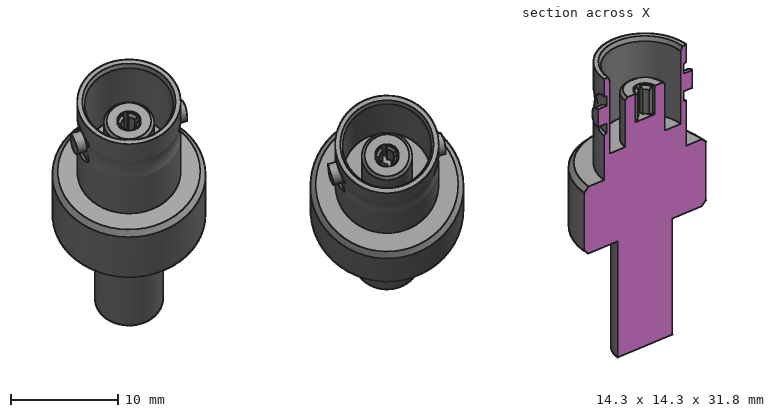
import cadquery as cq

height = 31.8
collar_bottom = 12.97
collar_top = 20.5
stem_radius = 3.2
collar_radius = 7.15
collar_chamfer = 0.5
barrel_radius = 4.83

pin_height = 27.67
groove_half_width = 1.3
groove_depth = 0.13

pin_radius = 1.02
pin_reach = 5.53
seat_plane = 4.55
seat_floor_radius = 2.05
seat_rim_radius = 2.2

socket_radius = 4.13
mouth_radius = 4.35
mouth_depth = 0.45
socket_floor = 23.2

boss_radius = 2.35
boss_top = 28.68
boss_chamfer = 0.3
boss_bore_radius = 1.1

contact_bore_radius = 0.7
contact_mouth_radius = 1.0
contact_recess = 0.15
contact_depth = 3.18
contact_top = boss_top - contact_recess
contact_floor = boss_top - contact_depth
slot_width = 0.45


def cylinder(radius, bottom, top):
    """Upright cylinder on the Z axis."""
    return cq.Workplane("XY").workplane(offset=bottom).circle(radius).extrude(top - bottom)


def make_collar():
    collar = cylinder(collar_radius, collar_bottom, collar_top)
    return collar.faces("<Z or >Z").edges().chamfer(collar_chamfer)


def make_barrel():
    """Barrel with a shallow arc-shaped groove around it."""
    return (
        cq.Workplane("XZ")
        .moveTo(0, collar_top)
        .lineTo(barrel_radius, collar_top)
        .lineTo(barrel_radius, pin_height - groove_half_width)
        .threePointArc(
            (barrel_radius - groove_depth, pin_height),
            (barrel_radius, pin_height + groove_half_width),
        )
        .lineTo(barrel_radius, height)
        .lineTo(0, height)
        .close()
        .revolve(360, (0, 0), (0, 1))
    )


def make_seat_cutter(side):
    """Cone that sinks a flat seat into the barrel on the +Y (1) or -Y (-1) side."""
    axis = cq.Vector(0, side, 0)
    depth = barrel_radius - seat_plane
    foot = cq.Vector(0, side * seat_plane, pin_height)
    return cq.Workplane(cq.Solid.makeCone(seat_floor_radius, seat_rim_radius, depth, foot, axis))


def make_pin(side):
    """Bayonet pin rooted in the barrel wall, its end rounded about the Z axis."""
    root = (socket_radius + seat_plane) / 2
    foot = cq.Vector(0, side * root, pin_height)
    axis = cq.Vector(0, side, 0)
    pin = cq.Workplane(cq.Solid.makeCylinder(pin_radius, pin_reach - root, foot, axis))
    return pin.intersect(cylinder(pin_reach, collar_top, height))


def make_socket_cutter():
    bore = cylinder(socket_radius, socket_floor, height)
    mouth_foot = cq.Vector(0, 0, height - mouth_depth)
    mouth = cq.Workplane(cq.Solid.makeCone(socket_radius, mouth_radius, mouth_depth, mouth_foot))
    return bore.union(mouth)


def make_boss():
    boss = cylinder(boss_radius, socket_floor, boss_top)
    return boss.faces(">Z").edges().chamfer(boss_chamfer)


def make_contact_cutter():
    """Hollow above and inside the contact: recess, tapered mouth, bore and crossed slots."""
    recess = cylinder(boss_bore_radius, contact_top, boss_top)
    bore = cylinder(contact_bore_radius, contact_floor, contact_top)
    taper = contact_mouth_radius - contact_bore_radius
    taper_foot = cq.Vector(0, 0, contact_top - taper)
    mouth = cq.Workplane(
        cq.Solid.makeCone(contact_bore_radius, contact_mouth_radius, taper, taper_foot)
    )
    slot_length = 2 * boss_bore_radius
    slots = (
        cq.Workplane("XY")
        .workplane(offset=contact_floor)
        .rect(slot_length, slot_width)
        .extrude(contact_top - contact_floor)
    )
    slots = slots.union(slots.rotate((0, 0, 0), (0, 0, 1), 90))
    slots = slots.intersect(cylinder(boss_bore_radius, contact_floor, contact_top))
    return recess.union(bore).union(mouth).union(slots)


barrel = make_barrel()
for side in (-1, 1):
    barrel = barrel.cut(make_seat_cutter(side))
    barrel = barrel.union(make_pin(side))
barrel = barrel.cut(make_socket_cutter())

stem = cylinder(stem_radius, 0, collar_bottom)
body = stem.union(make_collar()).union(barrel).union(make_boss())
result = body.cut(make_contact_cutter())